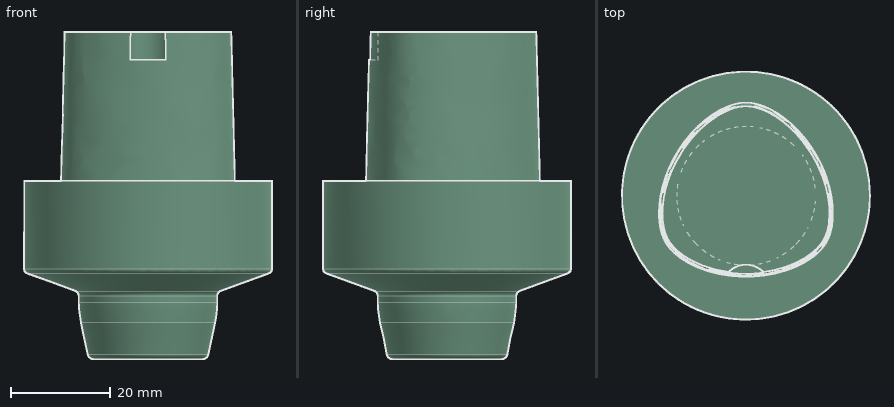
import cadquery as cq
import math

total_height = 66.0
shank_height = 30.0
flange_top = total_height - shank_height

flange_radius = 50.0 / 2
neck_radius = 28.0 / 2
cone_angle = math.radians(20)
cone_bottom = 13.5
cone_top = cone_bottom + (flange_radius - neck_radius) * math.tan(cone_angle)
flange_fillet = 1.0
neck_fillet = 1.0

neck_bottom = 11.55
nose_arc_radius = 19.8
nose_angle = math.radians(12)
nose_fillet = 1.3

shank_base_radius = 17.55
shank_top_radius = 16.8
lobe_eccentricity = 1.2
outline_points = 72

notch_radius = 4.9
notch_depth = 5.6
notch_inner_y = -13.9


def nose_arc_point(angle):
    """Radius and height on the nose arc after turning inward by the angle."""
    radius = neck_radius - nose_arc_radius * (1 - math.cos(angle))
    height = neck_bottom - nose_arc_radius * math.sin(angle)
    return radius, height


def circle_at(radius, height):
    """Selector for the circular edge of this radius at this height."""
    margin = 0.05
    reach = radius + margin
    return cq.selectors.BoxSelector(
        (-reach, -reach, height - margin), (reach, reach, height + margin), boundingbox=True
    )


def make_body():
    """Flange, cone, neck and nose as one revolved solid."""
    taper_radius, taper_top = nose_arc_point(nose_angle)
    tip_radius = taper_radius - taper_top * math.tan(nose_angle)
    body = (
        cq.Workplane("XZ")
        .lineTo(tip_radius, 0)
        .lineTo(taper_radius, taper_top)
        .threePointArc(nose_arc_point(nose_angle / 2), (neck_radius, neck_bottom))
        .lineTo(neck_radius, cone_bottom)
        .lineTo(flange_radius, cone_top)
        .lineTo(flange_radius, flange_top)
        .lineTo(0, flange_top)
        .close()
        .revolve(360, (0, 0, 0), (0, 1, 0))
    )
    body = body.edges(circle_at(flange_radius, cone_top)).fillet(flange_fillet)
    body = body.edges(circle_at(neck_radius, cone_bottom)).fillet(neck_fillet)
    return body.faces("<Z").edges().fillet(nose_fillet)


def lobed_point(mean_radius, angle):
    """Point on the three-lobed curve, with one lobe toward +Y."""
    e = lobe_eccentricity
    x = mean_radius * math.sin(angle) - 2 * e * math.sin(2 * angle) - e * math.sin(4 * angle)
    y = mean_radius * math.cos(angle) + 2 * e * math.cos(2 * angle) - e * math.cos(4 * angle)
    return x, y


def lobed_outline(mean_radius):
    """Points once around the three-lobed curve."""
    step = 2 * math.pi / outline_points
    return [lobed_point(mean_radius, i * step) for i in range(outline_points)]


def make_shank():
    """Three-lobed shank that narrows toward the top."""
    return (
        cq.Workplane("XY", origin=(0, 0, flange_top))
        .spline(lobed_outline(shank_base_radius), periodic=True)
        .close()
        .workplane(offset=shank_height)
        .spline(lobed_outline(shank_top_radius), periodic=True)
        .close()
        .loft(ruled=True)
    )


def make_notch():
    """Cylinder that cuts the key notch."""
    return (
        cq.Workplane("XY", origin=(0, notch_inner_y - notch_radius, total_height - notch_depth))
        .circle(notch_radius)
        .extrude(notch_depth)
    )


result = make_body().union(make_shank()).cut(make_notch())